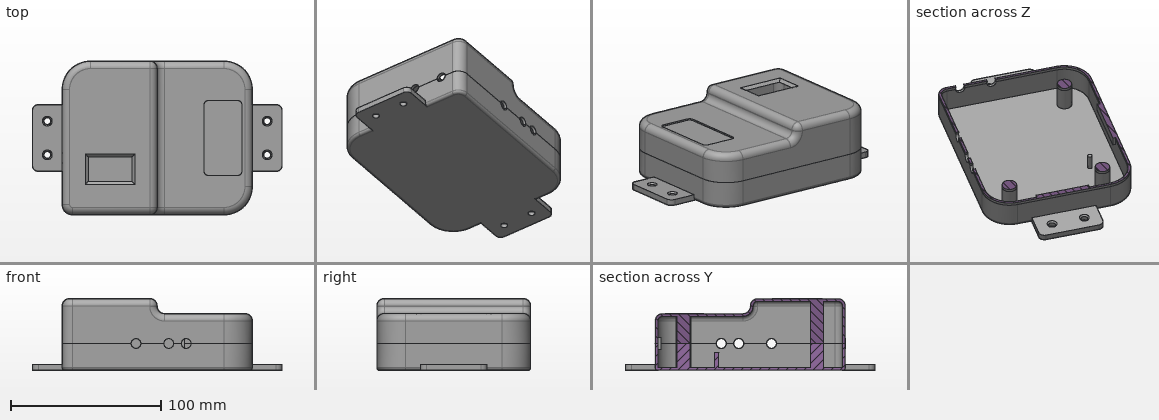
import cadquery as cq

body_length = 126.9
body_width = 102.5
total_height = 48.0
step_drop = 10.0
low_top = total_height - step_drop
split_height = 18.0
wall = 2.0
large_corner = 19.0
small_corner = 7.0
top_round = 5.0
step_foot_round = 4.8
bottom_round = 2.0

flange_length = 166.5
flange_width = 44.6
flange_thickness = 4.0
flange_corner = 4.0
screw_spacing_x = 146.5
screw_spacing_y = 22.5
screw_diameter = 4.5
countersink_diameter = 6.5
countersink_angle = 90

cable_diameter = 6.5
front_hole_x = [-14.2, 7.7, 19.3]
left_hole_y = [-35.1, -13.3]

window_length = 33.0
window_width = 20.1
window_x = -31.5
window_y = -20.8
window_bevel = 2.0

label_length = 25.3
label_width = 50.0
label_x = 43.8
label_corner = 3.0
label_depth = 1.0

boss_diameter = 10.0
post_diameter = 3.0
post_height = 10.0
post_x = 22.5
post_y = 30.1
tab_width = 36.6
tab_thickness = 2.0
tab_bottom = 14.0
tab_top = 22.0


def rounded_block(inset, bottom, top):
    """Block with the housing outline moved inwards by inset; its front left corner is the tightest."""
    block = (
        cq.Workplane("XY", origin=(0, 0, bottom))
        .rect(body_length - 2 * inset, body_width - 2 * inset)
        .extrude(top - bottom)
    )
    block = block.edges("|Z and (>X or >Y)").fillet(large_corner - inset)
    return block.edges("|Z and <X and <Y").fillet(small_corner - inset)


def stepped_block(inset):
    """Block from the joint up to the two tops, moved inwards by inset on every outer side."""
    block = rounded_block(inset, split_height, total_height - inset)
    above_low_top = cq.Workplane("XY", origin=(-inset, 0, low_top - inset)).box(
        body_length, body_width, total_height, centered=(False, True, False)
    )
    return block.cut(above_low_top)


def lid_block(inset):
    """Stepped block with a hollow round along the foot of the step and rounded upper edges."""
    block = stepped_block(inset)
    on_step = cq.selectors.NearestToPointSelector((-inset, 0, low_top + step_drop / 2))
    block = block.faces(on_step).edges("<Z").fillet(step_foot_round + inset)
    rim = block.edges(">Z").add(block.faces(">X").edges(">Z"))
    return block.newObject(rim.vals()).fillet(top_round - inset)


def cable_holes():
    """Round cutters through the front wall and the left wall."""
    radius = cable_diameter / 2
    reach = 2 * wall
    cutters = cq.Workplane("XY")
    for x in front_hole_x:
        start = cq.Vector(x, -body_width / 2 - wall, split_height)
        cutters = cutters.add(cq.Solid.makeCylinder(radius, reach, start, cq.Vector(0, 1, 0)))
    for y in left_hole_y:
        start = cq.Vector(-body_length / 2 - wall, y, split_height)
        cutters = cutters.add(cq.Solid.makeCylinder(radius, reach, start, cq.Vector(1, 0, 0)))
    return cutters.combine()


def window():
    """Opening through the top, narrowing downwards with sloping sides."""
    return (
        cq.Workplane("XY", origin=(window_x, window_y, total_height))
        .rect(window_length, window_width)
        .workplane(offset=-wall)
        .rect(window_length - 2 * window_bevel, window_width - 2 * window_bevel)
        .loft(ruled=True)
    )


def label_recess():
    """Shallow rectangular cutter with rounded corners."""
    return (
        cq.Workplane("XY", origin=(label_x, 0, low_top - label_depth))
        .rect(label_length, label_width)
        .extrude(label_depth)
        .edges("|Z")
        .fillet(label_corner)
    )


def wall_tabs():
    """Flat pads on the inside of the right and back walls, reaching across the joint."""
    tab_height = tab_top - tab_bottom
    right_x = body_length / 2 - wall - tab_thickness / 2
    back_y = body_width / 2 - wall - tab_thickness / 2
    right = cq.Workplane("XY", origin=(right_x, 0, tab_bottom)).box(
        tab_thickness, tab_width, tab_height, centered=(True, True, False)
    )
    back = cq.Workplane("XY", origin=(0, back_y, tab_bottom)).box(
        tab_width, tab_thickness, tab_height, centered=(True, True, False)
    )
    return right.add(back).combine()


def corner_bosses(top):
    """Pillars from the floor up to top, concentric with the three large corners."""
    x = body_length / 2 - large_corner
    y = body_width / 2 - large_corner
    return (
        cq.Workplane("XY", origin=(0, 0, wall))
        .pushPoints([(x, -y), (x, y), (-x, y)])
        .circle(boss_diameter / 2)
        .extrude(top - wall)
    )


def make_lid():
    """Upper shell with the window, the label recess and the upper halves of the cable holes."""
    cavity = lid_block(wall).cut(corner_bosses(total_height))
    lid = lid_block(0).cut(cavity)
    lid = lid.cut(window()).cut(label_recess()).cut(cable_holes())
    return lid.union(wall_tabs())


def flange():
    """Plate reaching out on both sides, with four countersunk screw holes."""
    plate = (
        cq.Workplane("XY")
        .rect(flange_length, flange_width)
        .extrude(flange_thickness)
        .edges("|Z")
        .fillet(flange_corner)
    )
    return (
        plate.faces(">Z")
        .workplane(origin=(0, 0, flange_thickness))
        .rect(screw_spacing_x, screw_spacing_y, forConstruction=True)
        .vertices()
        .cskHole(screw_diameter, countersink_diameter, countersink_angle)
    )


def make_base():
    """Lower shell with the flange, a thin post and the lower halves of the cable holes."""
    tray = rounded_block(0, 0, split_height).faces("<Z").edges().fillet(bottom_round)
    cavity = rounded_block(wall, wall, split_height)
    post = (
        cq.Workplane("XY", origin=(post_x, post_y, wall))
        .circle(post_diameter / 2)
        .extrude(post_height)
    )
    cavity = cavity.cut(corner_bosses(split_height)).cut(post)
    base = tray.union(flange()).cut(cavity)
    return base.cut(cable_holes())


lid = make_lid()
base = make_base()
result = cq.Compound.makeCompound([base.solids().val(), lid.solids().val()])